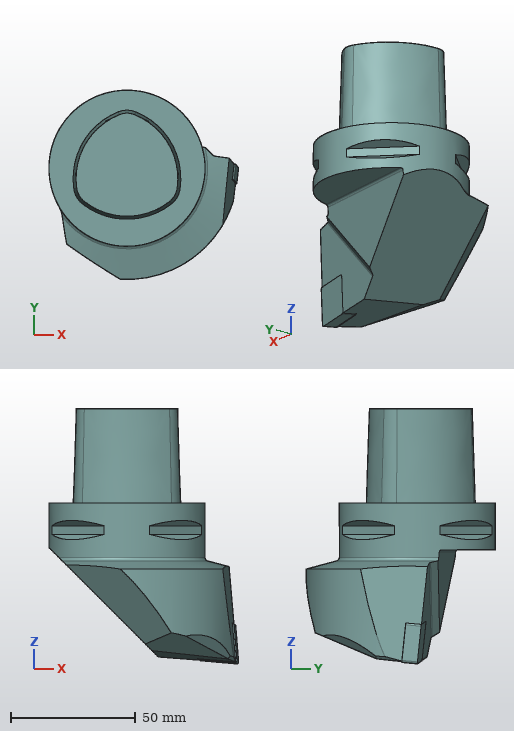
import cadquery as cq
import math

flange_radius = 63 / 2
head_radius = 44.9
head_rim_z = -26.7
head_cone_angle = 15.0
neck_fillet = 1.4
blank_bottom_z = -70.0

shank_length = 38.0
lobe_reach = 23.4
flank_reach = 20.6
flank_radius = 29.0
shank_taper = 1.22

slot_count = 4
slot_first_angle = 45.0
slot_z = -11.0
slot_floor_height = 3.45
slot_mouth_height = 7.75
slot_floor_distance = 27.8

back_sum = -49.5
back_chamfer_y = -30.6

side_flank_x = 38.37
side_flank_normal = (1, -0.1, 0.095)
end_flank_z = -60.76
end_flank_normal = (-0.088, -0.0836, -1)

heel_angle = 23.0
heel_start = (0, -16.3, -63.0)
heel_corner_point = (35.6, -27.5, -55.0)
heel_corner_normal = (0.93, -1.16, -1)
nose_corner_point = (43.5, -6.3, -64.1)
nose_corner_normal = (1, -0.39, -1)

rake_x = -0.115
rake_z = 0.094
upper_rake_level = 14.2
lower_rake_level = 11.25
pocket_roof_z = -19.0
roof_fillet = 1.0
step_difference = 55.0
step_fillet = 1.5

insert_edge = 16.1
insert_thickness = 6.35
insert_angle = 80.0
insert_nose_radius = 0.8
lead_angle = 5.0
insert_tip_x = 45.11
insert_tip_z = -65.08

SPAN = 300.0


def half_space(point, normal):
    """Large block filling the side of a plane that the normal points to."""
    plane = cq.Plane(origin=point, normal=normal)
    return cq.Workplane(plane).rect(SPAN, SPAN).extrude(SPAN)


def rake_y(x, z, level):
    return rake_x * x + rake_z * z + level


rake_normal = cq.Vector(-rake_x, 1, -rake_z).normalized()


def turned_blank():
    cone_start_z = head_rim_z + (head_radius - flange_radius) * math.tan(math.radians(head_cone_angle))
    profile = [
        (0, 0),
        (flange_radius, 0),
        (flange_radius, cone_start_z),
        (head_radius, head_rim_z),
        (head_radius, blank_bottom_z),
        (0, blank_bottom_z),
    ]
    blank = cq.Workplane("XZ").polyline(profile).close().revolve(360, (0, 0), (0, 1))
    neck_centre = cq.selectors.NearestToPointSelector((0, 0, cone_start_z))
    return blank.edges("%CIRCLE").edges(neck_centre).fillet(neck_fillet)


def polar(distance, angle):
    return cq.Vector(
        distance * math.cos(math.radians(angle)),
        distance * math.sin(math.radians(angle)),
    )


def lobed_wire(inset, z):
    """Three lobe arcs joined by three tangent flank arcs, offset inwards by inset."""
    flank_centre = flank_radius - flank_reach
    apex_gap = flank_radius - lobe_reach
    lobe_centre = (flank_centre ** 2 - apex_gap ** 2) / (2 * apex_gap - flank_centre)
    lobe_radius = lobe_reach - lobe_centre - inset
    outer_radius = flank_radius - inset
    lift = cq.Vector(0, 0, z)
    edges = []
    for lobe_angle in (90, 210, 330):
        lobe = polar(lobe_centre, lobe_angle)
        next_lobe = polar(lobe_centre, lobe_angle + 120)
        before = polar(flank_centre, lobe_angle + 120)
        after = polar(flank_centre, lobe_angle + 240)
        lobe_start = lobe + (lobe - before).normalized() * lobe_radius
        lobe_end = lobe + (lobe - after).normalized() * lobe_radius
        flank_end = next_lobe + (next_lobe - after).normalized() * lobe_radius
        lobe_apex = polar(lobe_reach - inset, lobe_angle)
        flank_middle = after + polar(outer_radius, lobe_angle + 60)
        edges.append(cq.Edge.makeThreePointArc(lobe_start + lift, lobe_apex + lift, lobe_end + lift))
        edges.append(cq.Edge.makeThreePointArc(lobe_end + lift, flank_middle + lift, flank_end + lift))
    return cq.Wire.assembleEdges(edges)


def shank():
    base = lobed_wire(0, 0)
    top = lobed_wire(shank_taper, shank_length)
    return cq.Workplane(cq.Solid.makeLoft([base, top], True))


def gripper_slots():
    """Flat-floored slots whose side walls flare outwards."""
    depth = flange_radius - slot_floor_distance
    section = [
        (slot_floor_distance, slot_z - slot_floor_height / 2),
        (flange_radius, slot_z - slot_mouth_height / 2),
        (flange_radius + depth, slot_z - slot_mouth_height / 2),
        (flange_radius + depth, slot_z + slot_mouth_height / 2),
        (flange_radius, slot_z + slot_mouth_height / 2),
        (slot_floor_distance, slot_z + slot_floor_height / 2),
    ]
    slot = cq.Workplane("XZ").polyline(section).close().extrude(flange_radius, both=True)
    return [
        slot.rotate((0, 0, 0), (0, 0, 1), slot_first_angle + i * 360 / slot_count)
        for i in range(slot_count)
    ]


def below_roof():
    return half_space((0, 0, pocket_roof_z), (0, 0, -1))


def upper_rake_cut():
    """Clears the head in front of the upper rake face, below the flange."""
    cut = half_space((0, upper_rake_level, 0), rake_normal).intersect(below_roof())
    corner = (0, rake_y(0, pocket_roof_z, upper_rake_level), pocket_roof_z)
    return cut.edges(cq.selectors.NearestToPointSelector(corner)).fillet(roof_fillet)


def lower_rake_cut():
    """Clears the insert side down to the lower rake face, up to a 45 degree step."""
    diagonal = math.sqrt(0.5)
    step_normal = (diagonal - rake_x, 1, -diagonal - rake_z)
    step_point = (step_difference, rake_y(step_difference, 0, upper_rake_level), 0)
    step_side = half_space(step_point, step_normal)
    rake_side = half_space((0, lower_rake_level, 0), rake_normal)
    cut = rake_side.intersect(step_side)
    step_run = step_difference + (upper_rake_level - lower_rake_level) / diagonal
    corner_x = step_run / 2
    corner_z = -step_run / 2
    corner = (corner_x, rake_y(corner_x, corner_z, lower_rake_level), corner_z)
    cut = cut.edges(cq.selectors.NearestToPointSelector(corner)).fillet(step_fillet)
    return cut.intersect(below_roof())


def outer_cuts():
    """Flat faces that trim the outside of the head."""
    diagonal = math.sqrt(0.5)
    return [
        half_space((back_sum, 0, 0), (-1, 0, -1)),
        half_space((back_sum, back_chamfer_y, 0), (-diagonal, -1, -diagonal)),
        half_space((side_flank_x, 0, 0), side_flank_normal),
        half_space((0, 0, end_flank_z), end_flank_normal),
        half_space(heel_start, (0, -math.tan(math.radians(heel_angle)), -1)),
        half_space(heel_corner_point, heel_corner_normal),
        half_space(nose_corner_point, nose_corner_normal),
    ]


def make_insert():
    lead = math.radians(lead_angle)
    edge_x = -math.cos(lead)
    edge_z = math.sin(lead)
    along_edge = cq.Vector(edge_x, rake_x * edge_x + rake_z * edge_z, edge_z)
    tip = (insert_tip_x, rake_y(insert_tip_x, insert_tip_z, lower_rake_level), insert_tip_z)
    plane = cq.Plane(origin=tip, xDir=along_edge, normal=rake_normal)
    corner = polar(insert_edge, insert_angle)
    outline = [
        (0, 0),
        (insert_edge, 0),
        (insert_edge + corner.x, corner.y),
        (corner.x, corner.y),
    ]
    blank = cq.Workplane(plane).polyline(outline).close().extrude(-insert_thickness)
    sides = cq.selectors.ParallelDirSelector(rake_normal)
    return blank.edges(sides).fillet(insert_nose_radius)


def make_holder(insert):
    holder = turned_blank().union(shank())
    for cut in gripper_slots() + outer_cuts() + [upper_rake_cut(), lower_rake_cut()]:
        holder = holder.cut(cut)
    return holder.cut(insert)


insert = make_insert()
holder = make_holder(insert)

result = cq.Compound.makeCompound([holder.solids().val(), insert.solids().val()])